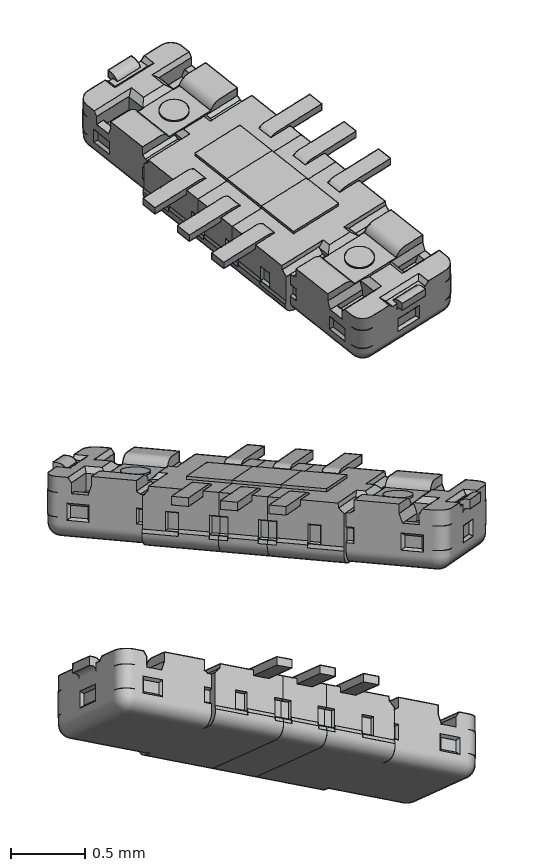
import cadquery as cq

overall_length = 2.98
overall_width = 1.5
overall_height = 0.45
top_z = 0.43
contact_pitch = 0.35
module_half = contact_pitch / 2
overlap = 0.015
end_x = 1.44
end_half_width = 0.425
corner_radius = 0.098
corner_band_radius = 0.09
corner_band_z = (0.15, 0.32)
bottom_radius = 0.095
block_x = 0.72
block_half_width = 0.465
rim_half_width = 0.475
rim_radius = 0.092
rim_slope_height = 0.027
low_rim_z = 0.1
high_rim_z = 0.122
lead_width = 0.122
lead_thickness = 0.06
lead_flat_y = 0.355
lead_root_y = 0.292
pad_x = 0.5
pad_half_width = 0.203
window_depth = 0.02
side_window_x = (0.462, 0.555)
pitch_window_width = 0.13
block_window_z = (0.13, 0.265)
block_window_inset = 0.01
end_window_x = (1.115, 1.272)
end_window_half_width = 0.095
end_window_z = (0.13, 0.25)
end_window_inset = 0.018
step_window_x = (0.668, 0.778)
step_window_z = (0.15, 0.26)
step_window_inset = 0.012
saddle_x = (0.778, 1.1)
trough_z = 0.39
shoulder_flat_y = 0.275
shoulder_foot_y = 0.188
disc_x = 0.94
disc_radius = 0.1
disc_height = 0.012
outer_groove_z = 0.32
outer_groove_x = (1.123, 1.243)
outer_groove_wall_z = 0.385
outer_groove_chamfer = (0.025, 0.035)
groove_pocket_z = 0.268
groove_pocket_half_width = (0.337, 0.365)
inner_groove_z = 0.358
inner_groove_ramp_x = 0.748
inner_groove_wall_z = 0.375
inner_groove_break = (0.682, 0.395)
inner_groove_top_x = 0.675
nose_half_width = 0.092
nose_side_run = 0.045
outer_nose_tip_run = 0.045
inner_nose_tip_run = 0.04
recess_x = 1.34
recess_half_width = 0.175
recess_floor_z = 0.4
recess_slope = 0.03
tab_half_width = 0.105
tab_root_x = 1.395
tab_flat_x = 1.463
tab_top_z = 0.438
tab_bottom_z = 0.372
tab_fillet = 0.03


def box(x_range, half_width, z_range):
    """Block centred on y = 0."""
    length = x_range[1] - x_range[0]
    height = z_range[1] - z_range[0]
    block = cq.Workplane("XY").box(length, 2 * half_width, height, centered=(False, True, False))
    return block.translate((x_range[0], 0, z_range[0]))


def rectangle_loft(plane, offset_start, offset_end, start, end):
    """Tapered block between two rectangles (u0, u1, v0, v1) on parallel planes."""
    def corners(u0, u1, v0, v1):
        return [(u0, v0), (u1, v0), (u1, v1), (u0, v1)]

    sketch = cq.Workplane(plane).workplane(offset=offset_start).polyline(corners(*start)).close()
    sketch = sketch.workplane(offset=offset_end - offset_start).polyline(corners(*end)).close()
    return sketch.loft(ruled=True)


def along_x(profile, x_range):
    """Prism of a closed YZ profile."""
    return profile.extrude(x_range[1] - x_range[0]).translate((x_range[0], 0, 0))


def across_y(profile, half_width):
    """Prism of a closed XZ profile, centred on y = 0."""
    return profile.extrude(half_width, both=True)


def both_sides(shape):
    """The shape together with its mirror image across y = 0."""
    return shape.union(shape.mirror("XZ"))


def side_windows(wall_y, x_range, z_range, inset):
    """Cutters for a pair of tapered windows in the two long walls."""
    mouth = (*x_range, *z_range)
    floor = (x_range[0] + inset, x_range[1] - inset, z_range[0] + inset, z_range[1] - inset)
    return both_sides(rectangle_loft("XZ", wall_y, wall_y - window_depth, mouth, floor))


def end_window():
    """Cutter for the tapered window in the end wall."""
    half, inset = end_window_half_width, end_window_inset
    low, high = end_window_z
    mouth = (-half, half, low, high)
    floor = (inset - half, half - inset, low + inset, high - inset)
    return rectangle_loft("YZ", end_x, end_x - window_depth, mouth, floor)


def rimmed_block(x_range, rim_z):
    """Wide cross-section whose vertical rim ends at rim_z."""
    half = (
        cq.Workplane("YZ")
        .moveTo(0, 0)
        .lineTo(rim_half_width - rim_radius, 0)
        .radiusArc((rim_half_width, rim_radius), -rim_radius)
        .lineTo(rim_half_width, rim_z)
        .lineTo(block_half_width, rim_z + rim_slope_height)
        .lineTo(block_half_width, top_z)
        .lineTo(0, top_z)
        .close()
    )
    return both_sides(along_x(half, x_range))


def wide_block(x_start, x_end, high_rim_range):
    """Stretch of the wide portion, with the taller rim between the windows."""
    block = rimmed_block((x_start, x_end), low_rim_z)
    return block.union(rimmed_block(high_rim_range, high_rim_z))


def pitch_windows():
    """Cutters for the windows centred on the joint between two modules."""
    half = pitch_window_width / 2
    x_range = (module_half - half, module_half + half)
    return side_windows(block_half_width, x_range, block_window_z, block_window_inset)


def leads(x):
    """Pair of solder leads that bend down into the top face."""
    lead_bottom = overall_height - lead_thickness
    profile = (
        cq.Workplane("YZ")
        .moveTo(lead_root_y, lead_bottom)
        .lineTo(overall_width / 2, lead_bottom)
        .lineTo(overall_width / 2, overall_height)
        .lineTo(lead_flat_y, overall_height)
        .tangentArcPoint((lead_root_y, top_z), relative=False)
        .close()
    )
    return both_sides(along_x(profile, (x - lead_width / 2, x + lead_width / 2)))


def raised_pad(x_range):
    return box(x_range, pad_half_width, (top_z - overlap, overall_height))


def narrow_end():
    """Narrow portion with rounded corners and a rounded bottom edge."""
    x_range = (0, end_x)
    body = box(x_range, end_half_width, (0, top_z)).edges("|Z and >X").fillet(corner_radius)
    body = body.faces("<Z").edges("not <X").fillet(bottom_radius)
    band = box(x_range, end_half_width, corner_band_z).edges("|Z and >X").fillet(corner_band_radius)
    return body.union(band)


def nose(base_range, tip_run, depth_z):
    """Sloped-sided bridge across a groove, with plumb sides below the trough level."""
    base_half = nose_half_width + nose_side_run
    base = (*base_range, -base_half, base_half)
    top = (base_range[0] + tip_run, base_range[1] - tip_run, -nose_half_width, nose_half_width)
    bridge = rectangle_loft("XY", trough_z, top_z, base, top)
    return bridge.union(box(base_range, base_half, (depth_z, trough_z)))


def outer_groove():
    """Cutter for the groove between the saddle and the end wall, with its sunken middle."""
    left, right = outer_groove_x
    run, drop = outer_groove_chamfer
    profile = cq.Workplane("XZ").polyline([
        (saddle_x[1], top_z),
        (saddle_x[1], outer_groove_wall_z),
        (left, outer_groove_z),
        (right, outer_groove_z),
        (right, top_z - drop),
        (right + run, top_z),
    ]).close()
    floor_half, mouth_half = groove_pocket_half_width
    pocket = cq.Workplane("YZ").polyline([
        (-mouth_half, outer_groove_z),
        (-floor_half, groove_pocket_z),
        (floor_half, groove_pocket_z),
        (mouth_half, outer_groove_z),
    ]).close()
    groove = across_y(profile, end_half_width + overlap).union(along_x(pocket, outer_groove_x))
    return groove.cut(nose((saddle_x[1], end_x), outer_nose_tip_run, groove_pocket_z))


def inner_groove():
    """Cutter for the groove between the wide block and the saddle."""
    profile = cq.Workplane("XZ").polyline([
        (saddle_x[0], top_z),
        (saddle_x[0], inner_groove_wall_z),
        (inner_groove_ramp_x, inner_groove_z),
        (block_x, inner_groove_z),
        inner_groove_break,
        (inner_groove_top_x, top_z),
    ]).close()
    groove = across_y(profile, rim_half_width + overlap)
    return groove.cut(nose((pad_x, saddle_x[0]), inner_nose_tip_run, inner_groove_z))


def shoulders():
    """Raised saddle shoulders, rounded down towards the trough."""
    profile = (
        cq.Workplane("YZ")
        .moveTo(shoulder_foot_y, trough_z - overlap)
        .lineTo(end_half_width, trough_z - overlap)
        .lineTo(end_half_width, overall_height)
        .lineTo(shoulder_flat_y, overall_height)
        .tangentArcPoint((shoulder_foot_y, trough_z), relative=False)
        .close()
    )
    return both_sides(along_x(profile, saddle_x))


def saddle_disc():
    disc = cq.Workplane("XY").circle(disc_radius).extrude(overlap + disc_height)
    return disc.translate((disc_x, 0, trough_z - overlap))


def end_recess():
    """Cutter for the sloped recess that opens through the end wall."""
    outer = end_x + overlap
    floor_half = recess_half_width - recess_slope
    floor = (recess_x + recess_slope, outer, -floor_half, floor_half)
    mouth = (recess_x, outer, -recess_half_width, recess_half_width)
    return rectangle_loft("XY", recess_floor_z, top_z, floor, mouth)


def solder_tab():
    """Tab that rises from the recess and overhangs the end wall."""
    tip_x = overall_length / 2
    profile = (
        cq.Workplane("XZ")
        .moveTo(tab_root_x, tab_bottom_z - tab_fillet)
        .lineTo(end_x, tab_bottom_z - tab_fillet)
        .radiusArc((end_x + tab_fillet, tab_bottom_z), tab_fillet)
        .lineTo(tip_x, tab_bottom_z)
        .lineTo(tip_x, tab_top_z)
        .lineTo(tab_flat_x, tab_top_z)
        .tangentArcPoint((tab_root_x, recess_floor_z), relative=False)
        .close()
    )
    return across_y(profile, tab_half_width)


def end_module():
    """Module at the +X end: one lead pair, saddle, recess and solder tab."""
    high_rim = (module_half + pitch_window_width / 2, side_window_x[0])
    narrow = narrow_end().intersect(box((module_half, end_x), end_half_width, (0, top_z)))
    narrow = narrow.cut(side_windows(end_half_width, step_window_x, step_window_z, step_window_inset))
    narrow = narrow.cut(side_windows(end_half_width, end_window_x, end_window_z, end_window_inset))
    narrow = narrow.cut(end_window())
    body = narrow.union(wide_block(module_half, block_x, high_rim))
    body = body.cut(pitch_windows())
    body = body.cut(side_windows(block_half_width, side_window_x, block_window_z, block_window_inset))
    body = body.cut(outer_groove()).cut(inner_groove())
    body = body.cut(box(saddle_x, end_half_width, (trough_z, top_z)))
    body = body.union(shoulders()).union(saddle_disc())
    body = body.cut(end_recess()).union(solder_tab())
    return body.union(raised_pad((module_half, pad_x))).union(leads(contact_pitch))


def middle_module():
    """Module one pitch long with one lead pair."""
    rim_end = module_half - pitch_window_width / 2
    body = wide_block(-module_half, module_half, (-rim_end, rim_end))
    windows = pitch_windows()
    body = body.cut(windows).cut(windows.mirror("YZ"))
    return body.union(raised_pad((-module_half, module_half))).union(leads(0))


right_end = end_module()
left_end = right_end.mirror("YZ")
middle = middle_module()

result = cq.Compound.makeCompound([left_end.val(), middle.val(), right_end.val()])